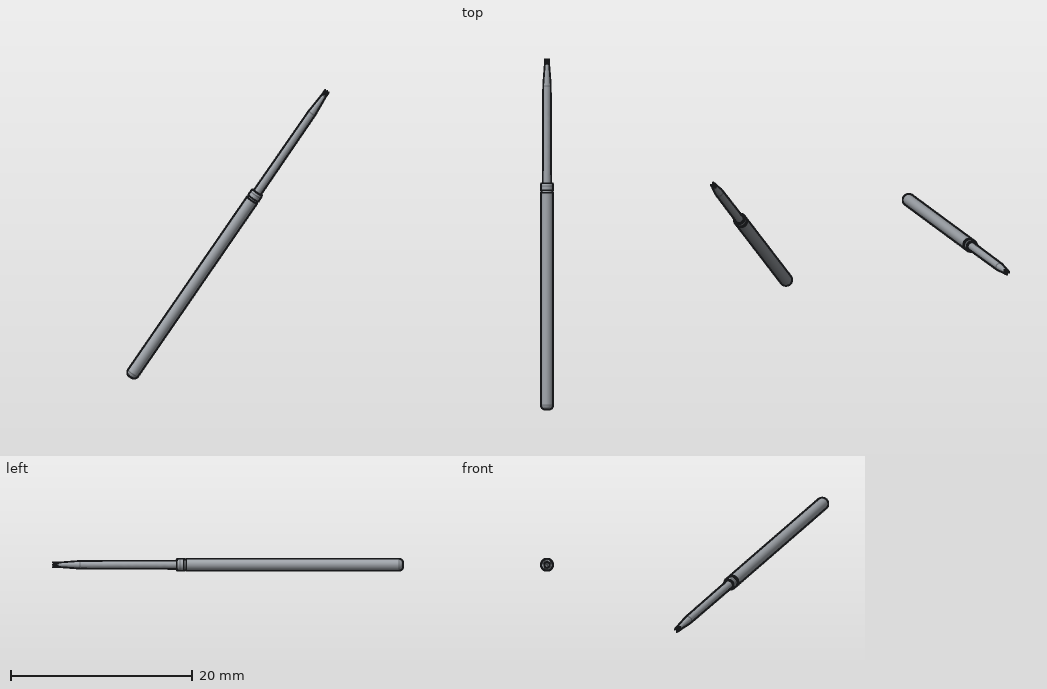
import math

import cadquery as cq


total_length = 38.7
barrel_length = 25.0
barrel_radius = 1.37 / 2
rear_round = 0.5
rear_flat_radius = 0.315
mouth_round_length = 0.3
mouth_round_inset = 0.07
crimp_position = 0.92
crimp_half_width = 0.13
crimp_depth = 0.08

plunger_mouth_radius = 0.473
shaft_radius = 0.44
shoulder_position = 2.97
crown_radius = 0.255
crown_length = 0.6

notch_axis_depth = 0.3
notch_rim_depth = 0.6
notch_count = 4
first_notch_angle = 45

rear_y = -barrel_length
tip_y = total_length - barrel_length
shoulder_y = tip_y - shoulder_position
crown_y = tip_y - crown_length


def make_body():
    """Revolve the half outline of the barrel and plunger about the Y axis."""
    rim_radius = barrel_radius - mouth_round_inset
    rim_arc_radius = (mouth_round_length**2 + mouth_round_inset**2) / (2 * mouth_round_inset)
    rim_angle = math.asin(mouth_round_length / rim_arc_radius) / 2
    rim_middle = (
        barrel_radius - rim_arc_radius * (1 - math.cos(rim_angle)),
        -mouth_round_length + rim_arc_radius * math.sin(rim_angle),
    )
    outline = (
        cq.Workplane("XY")
        .moveTo(0, tip_y)
        .lineTo(crown_radius, tip_y)
        .lineTo(crown_radius, crown_y)
        .lineTo(shaft_radius, shoulder_y)
        .lineTo(plunger_mouth_radius, 0)
        .lineTo(rim_radius, 0)
        .threePointArc(rim_middle, (barrel_radius, -mouth_round_length))
        .lineTo(barrel_radius, -crimp_position + crimp_half_width)
        .threePointArc(
            (barrel_radius - crimp_depth, -crimp_position),
            (barrel_radius, -crimp_position - crimp_half_width),
        )
        .lineTo(barrel_radius, rear_y + rear_round)
        .tangentArcPoint((rear_flat_radius, rear_y), relative=False)
        .lineTo(0, rear_y)
        .close()
    )
    return outline.revolve(360, (0, 0, 0), (0, 1, 0))


def make_notch(direction):
    """V-groove whose root falls from the axis to the rim, at a given angle about the Y axis.

    Its side slope makes neighbouring grooves meet in a point at full height on the rim.
    """
    fall = (notch_rim_depth - notch_axis_depth) / crown_radius
    tilt = math.atan(fall)
    side_slope = (notch_axis_depth / (crown_radius * math.sqrt(0.5)) + fall) * math.cos(tilt)
    reach = 3 * crown_radius
    half_width = 2 * crown_radius
    height = half_width * side_slope
    return (
        cq.Workplane("YZ")
        .polyline([(0, 0), (height, half_width), (height, -half_width)])
        .close()
        .extrude(reach, both=True)
        .rotate((0, 0, 0), (0, 0, 1), -math.degrees(tilt))
        .translate((0, tip_y - notch_axis_depth, 0))
        .rotate((0, 0, 0), (0, 1, 0), direction)
    )


result = make_body()
for index in range(notch_count):
    result = result.cut(make_notch(first_notch_angle + index * 360 / notch_count))